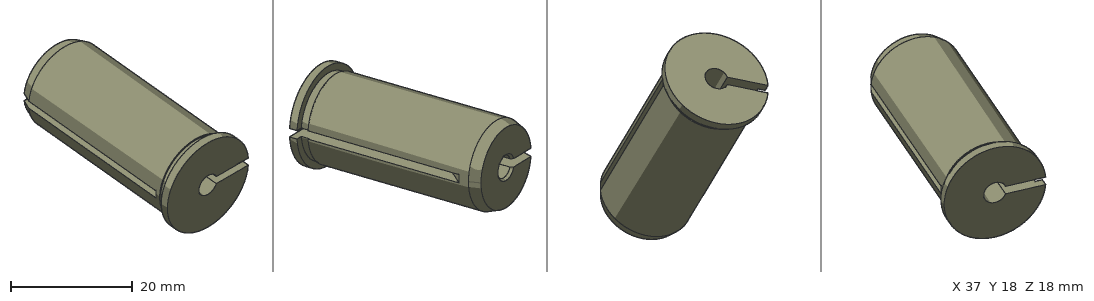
import cadquery as cq
import math

TOTAL_LENGTH = 37.0
BODY_RADIUS = 8.0
FLANGE_RADIUS = 9.0
FLANGE_THICKNESS = 1.5
NECK_RADIUS = 7.75
NECK_WIDTH = 1.5
NOSE_TAPER_LENGTH = 2.0
NOSE_TAPER_ANGLE = 20.0

BORE_RADIUS = 2.0
COUNTERSINK_RADIUS = 2.35
COUNTERSINK_DEPTH = 0.5

SLOT_WIDTH = 1.5
SLOT_OUTER_LENGTH = 33.1
SLOT_BORE_LENGTH = 24.9
RUNOUT_RADIUS = 40.0
CUT_CLEARANCE = 1.0

FLANGE_START = TOTAL_LENGTH - FLANGE_THICKNESS
NECK_START = FLANGE_START - NECK_WIDTH


def make_sleeve():
    """Solid of revolution: tapered nose, body, neck groove, flange and bore."""
    nose_radius = BODY_RADIUS - NOSE_TAPER_LENGTH * math.tan(math.radians(NOSE_TAPER_ANGLE))
    half_section = [
        (0, COUNTERSINK_RADIUS),
        (0, nose_radius),
        (NOSE_TAPER_LENGTH, BODY_RADIUS),
        (NECK_START, BODY_RADIUS),
        (NECK_START, NECK_RADIUS),
        (FLANGE_START, NECK_RADIUS),
        (FLANGE_START, FLANGE_RADIUS),
        (TOTAL_LENGTH, FLANGE_RADIUS),
        (TOTAL_LENGTH, BORE_RADIUS),
        (COUNTERSINK_DEPTH, BORE_RADIUS),
    ]
    return cq.Workplane("XY").polyline(half_section).close().revolve(360, (0, 0, 0), (1, 0, 0))


def runout_center():
    """Center of the run-out arc, which bulges from the body surface toward the bore."""
    run = SLOT_OUTER_LENGTH - SLOT_BORE_LENGTH
    rise = BODY_RADIUS - BORE_RADIUS
    chord = math.hypot(run, rise)
    offset = math.sqrt(RUNOUT_RADIUS**2 - (chord / 2) ** 2)
    center_x = (SLOT_OUTER_LENGTH + SLOT_BORE_LENGTH) / 2 - offset * rise / chord
    center_y = -(BODY_RADIUS + BORE_RADIUS) / 2 - offset * run / chord
    return center_x, center_y


def make_nose_slot_cutter():
    """Slot on the -Y side, open at the nose and reaching in to the axis."""
    center_x, center_y = runout_center()

    def arc_point(y):
        return center_x + math.sqrt(RUNOUT_RADIUS**2 - (y - center_y) ** 2), y

    outer_y = -(FLANGE_RADIUS + CUT_CLEARANCE)
    return (
        cq.Workplane("XY")
        .moveTo(0, 0)
        .lineTo(0, outer_y)
        .lineTo(*arc_point(outer_y))
        .threePointArc(arc_point(outer_y / 2), arc_point(0))
        .close()
        .extrude(SLOT_WIDTH / 2, both=True)
    )


nose_slot = make_nose_slot_cutter()
mid_x = TOTAL_LENGTH / 2
flange_slot = nose_slot.rotate((mid_x, 0, 0), (mid_x, 0, 1), 180)

result = make_sleeve().cut(nose_slot).cut(flange_slot)